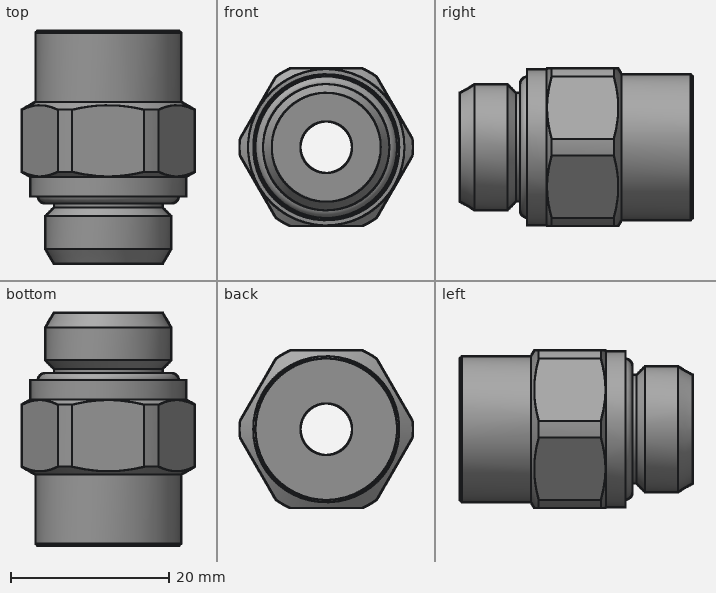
import cadquery as cq
import math


SPIGOT_SHOULDER_Y = 6.02
COLLAR_FACE_Y = 8.5
HEX_FRONT_Y = 11.0
HEX_REAR_Y = 20.5
TOTAL_LENGTH = 29.5

BORE_DIAMETER = 6.5
NECK_DIAMETER = 13.8
SPIGOT_DIAMETER = 16.0
COLLAR_DIAMETER = 19.8
BARREL_DIAMETER = 18.5
HEX_ACROSS_FLATS = 20.0
HEX_CORNER_DIAMETER = 21.98
BARREL_CHAMFER = 0.3

TIP_CONE_ANGLE = math.radians(60)
HEX_CONE_ANGLE = math.radians(30)

RING_SECTION_DIAMETER = 2.06
RING_PROTRUSION = 0.88
RECESS_MOUTH_DIAMETER = 18.5

bore_radius = BORE_DIAMETER / 2
neck_radius = NECK_DIAMETER / 2
spigot_radius = SPIGOT_DIAMETER / 2
collar_radius = COLLAR_DIAMETER / 2
barrel_radius = BARREL_DIAMETER / 2
hex_corner_radius = HEX_CORNER_DIAMETER / 2

spigot_step = spigot_radius - neck_radius
tip_chamfer_length = spigot_step * math.tan(TIP_CONE_ANGLE)
neck_front_y = SPIGOT_SHOULDER_Y + spigot_step

ring_section_radius = RING_SECTION_DIAMETER / 2
ring_centre_radius = neck_radius + ring_section_radius
ring_centre_y = COLLAR_FACE_Y - RING_PROTRUSION + ring_section_radius
recess_floor_radius = ring_centre_radius + ring_section_radius
recess_floor_y = ring_centre_y + ring_section_radius


def revolve_profile(points):
    """Turn a closed (radius, y) outline around the Y axis."""
    profile = cq.Workplane("XY").polyline(points).close()
    return profile.revolve(360, (0, 0, 0), (0, 1, 0))


def make_spigot():
    """Threaded end with tapered tip, and the neck that runs back into the hexagon."""
    return revolve_profile([
        (0, 0),
        (neck_radius, 0),
        (spigot_radius, tip_chamfer_length),
        (spigot_radius, SPIGOT_SHOULDER_Y),
        (neck_radius, neck_front_y),
        (neck_radius, HEX_FRONT_Y),
        (0, HEX_FRONT_Y),
    ])


def make_collar():
    """Sealing collar with the tapered O-ring recess in its front face."""
    return revolve_profile([
        (neck_radius, recess_floor_y),
        (recess_floor_radius, recess_floor_y),
        (RECESS_MOUTH_DIAMETER / 2, COLLAR_FACE_Y),
        (collar_radius, COLLAR_FACE_Y),
        (collar_radius, HEX_FRONT_Y),
        (neck_radius, HEX_FRONT_Y),
    ])


def make_hexagon():
    """Hexagon with two flats facing +/-Z, its corners turned round and coned at both ends."""
    across_points = HEX_ACROSS_FLATS / math.cos(math.radians(30))
    prism = (
        cq.Workplane("XZ", origin=(0, HEX_FRONT_Y, 0))
        .polygon(6, across_points)
        .extrude(HEX_FRONT_Y - HEX_REAR_Y)
    )
    front_cone_length = (hex_corner_radius - collar_radius) * math.tan(HEX_CONE_ANGLE)
    rear_cone_length = (hex_corner_radius - barrel_radius) * math.tan(HEX_CONE_ANGLE)
    turned_envelope = revolve_profile([
        (0, HEX_FRONT_Y),
        (collar_radius, HEX_FRONT_Y),
        (hex_corner_radius, HEX_FRONT_Y + front_cone_length),
        (hex_corner_radius, HEX_REAR_Y - rear_cone_length),
        (barrel_radius, HEX_REAR_Y),
        (0, HEX_REAR_Y),
    ])
    return prism.intersect(turned_envelope)


def make_barrel():
    """Plain round rear end with a small edge chamfer."""
    return revolve_profile([
        (0, HEX_REAR_Y),
        (barrel_radius, HEX_REAR_Y),
        (barrel_radius, TOTAL_LENGTH - BARREL_CHAMFER),
        (barrel_radius - BARREL_CHAMFER, TOTAL_LENGTH),
        (0, TOTAL_LENGTH),
    ])


def make_fitting():
    """Complete fitting body with its through bore."""
    bore = cq.Workplane("XZ").circle(bore_radius).extrude(-TOTAL_LENGTH)
    outside = make_spigot().union(make_collar()).union(make_hexagon()).union(make_barrel())
    return outside.cut(bore).solids()


def make_o_ring():
    """O-ring around the neck, resting on the recess floor and standing proud of the collar."""
    section = cq.Workplane("XY").center(ring_centre_radius, ring_centre_y).circle(ring_section_radius)
    return section.revolve(360, (-ring_centre_radius, 0, 0), (-ring_centre_radius, 1, 0))


fitting = make_fitting()
o_ring = make_o_ring()

result = cq.Compound.makeCompound([fitting.val(), o_ring.val()])